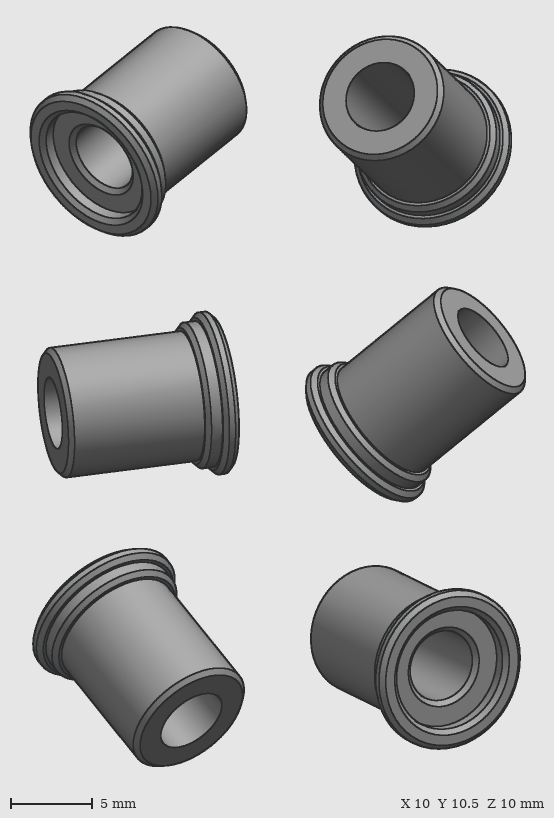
import cadquery as cq

total_length = 10.5
chamfer = 0.3

flange_diameter = 10.0
flange_length = 1.0
collar_diameter = 9.0
collar_length = 1.0
barrel_diameter = 8.0
barrel_length = total_length - flange_length - collar_length

recess_diameter = 7.5
recess_depth = 1.0
bore_diameter = 4.4


def cylinder(diameter, start, length):
    """Solid cylinder along +Y beginning at Y = start."""
    plane = cq.Workplane("XZ", origin=(0, start, 0))
    return plane.circle(diameter / 2).extrude(-length)


def entry_cone(diameter, start):
    """45-degree cone that breaks the edge of a hole opening at Y = start."""
    return cq.Workplane(
        cq.Solid.makeCone(
            diameter / 2 + chamfer,
            diameter / 2,
            chamfer,
            pnt=cq.Vector(0, start, 0),
            dir=cq.Vector(0, 1, 0),
        )
    )


flange = cylinder(flange_diameter, 0, flange_length).edges().chamfer(chamfer)
collar = cylinder(collar_diameter, flange_length, collar_length).faces(">Y").chamfer(chamfer)
barrel = cylinder(barrel_diameter, flange_length + collar_length, barrel_length)
barrel = barrel.faces(">Y").chamfer(chamfer)
body = flange.union(collar).union(barrel)

recess = cylinder(recess_diameter, 0, recess_depth).union(entry_cone(recess_diameter, 0))
bore = cylinder(bore_diameter, 0, total_length).union(entry_cone(bore_diameter, recess_depth))

result = body.cut(recess).cut(bore)